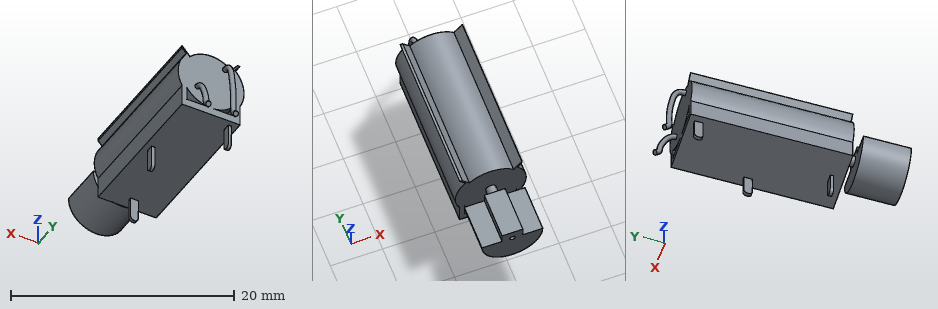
import cadquery as cq
import math


can_radius = 3.0
can_length = 15.2
clip_radius = 6.8 / 2
clip_left_end_angle = 135.0
clip_right_end_angle = 42.0

channel_half_width = 3.0
channel_wall = 0.5
cavity_half_width = channel_half_width - channel_wall
floor_merge = 0.011
floor_top = floor_merge - can_radius
channel_bottom = -3.75
wall_top = -math.sqrt(clip_radius**2 - channel_half_width**2)
cavity_corner_angle = math.degrees(math.acos(cavity_half_width / can_radius))

lip_top = can_radius
left_lip = [(-2.98, lip_top), (-2.73, lip_top), (-2.02, 2.15), (-2.08, 1.95)]
right_lip = [(3.0, lip_top), (3.0, 2.75), (2.34, 1.97), (2.13, 2.02)]

pin_width = 0.8
pin_thickness = 0.32
pin_bottom = lip_top - 9.2
front_pin_y = 1.17
side_pin_x = 2.25
left_pin_y = 14.27
right_pin_y = 8.27

shaft_diameter = 1.0
shaft_gap = 1.0
weight_radius = 2.9
weight_length = 4.5
hub_width = 2.0
hub_top = 0.98
weight_hole_diameter = 0.5

wire_diameter = 0.5
wire_x = 1.42
high_wire_path = [
    (can_length, 1.92), (15.66, 1.88), (16.1, 1.45), (16.45, 0.3), (16.65, -1.08), (16.75, -2.45), (16.75, -3.82),
]
low_wire_path = [(can_length, -1.12), (15.94, -1.58), (16.37, -2.38), (16.76, -3.85)]
tail_bend_radius = 0.57
tail_angle = math.radians(48)
tail_length = 0.35


def extrude_back(sketch, front_y, length):
    """Extrude an XZ sketch from front_y towards +Y."""
    return sketch.extrude(-length).translate((0, front_y, 0))


def polar_point(radius, angle):
    """Point (X, Z) at an angle in degrees from +X."""
    turn = math.radians(angle)
    return radius * math.cos(turn), radius * math.sin(turn)


def clip_arm(start_angle, end_angle):
    """Wedge of the clip's outer circle, which wraps one side of the can."""
    middle_angle = (start_angle + end_angle) / 2
    sketch = (
        cq.Workplane("XZ")
        .lineTo(*polar_point(clip_radius, start_angle))
        .threePointArc(
            polar_point(clip_radius, middle_angle),
            polar_point(clip_radius, end_angle),
        )
        .close()
    )
    return extrude_back(sketch, 0, can_length)


def bracket_channel():
    """U-shaped channel with walls rising to the clip."""
    sketch = cq.Workplane("XZ").polyline([
        (-channel_half_width, channel_bottom),
        (channel_half_width, channel_bottom),
        (channel_half_width, wall_top),
        (cavity_half_width, wall_top),
        (cavity_half_width, floor_top),
        (-cavity_half_width, floor_top),
        (-cavity_half_width, wall_top),
        (-channel_half_width, wall_top),
    ]).close()
    return extrude_back(sketch, 0, can_length)


def solder_pin():
    """Flat pin with a full-round tip, facing Y and centred on the origin in plan."""
    tip_radius = pin_width / 2
    tip_start = pin_bottom + tip_radius
    sketch = (
        cq.Workplane("XZ")
        .moveTo(-tip_radius, channel_bottom)
        .lineTo(-tip_radius, tip_start)
        .threePointArc((0, pin_bottom), (tip_radius, tip_start))
        .lineTo(tip_radius, channel_bottom)
        .close()
    )
    return extrude_back(sketch, -pin_thickness / 2, pin_thickness)


def eccentric_weight():
    """Half-round weight with a raised hub and an axial hole."""
    front_y = -shaft_gap - weight_length
    half_round = (
        cq.Workplane("XZ")
        .moveTo(-weight_radius, 0)
        .threePointArc((0, -weight_radius), (weight_radius, 0))
        .close()
    )
    hub = cq.Workplane("XZ").rect(hub_width, 2 * hub_top)
    hole = cq.Workplane("XZ").circle(weight_hole_diameter / 2)
    weight = extrude_back(half_round, front_y, weight_length)
    weight = weight.union(extrude_back(hub, front_y, weight_length))
    return weight.cut(extrude_back(hole, front_y, weight_length))


def motor_body():
    """Can, bracket, pins, shaft and weight as one solid."""
    body = extrude_back(cq.Workplane("XZ").circle(can_radius), 0, can_length)
    body = body.union(clip_arm(-cavity_corner_angle, clip_right_end_angle))
    body = body.union(clip_arm(clip_left_end_angle, 180 + cavity_corner_angle))
    body = body.union(bracket_channel())
    for lip in (left_lip, right_lip):
        body = body.union(extrude_back(cq.Workplane("XZ").polyline(lip).close(), 0, can_length))

    body = body.union(solder_pin().translate((0, front_pin_y, 0)))
    side_pin = solder_pin().rotate((0, 0, 0), (0, 0, 1), 90)
    for x, y in ((-side_pin_x, left_pin_y), (side_pin_x, right_pin_y)):
        body = body.union(side_pin.translate((x, y, 0)))

    shaft = cq.Workplane("XZ").circle(shaft_diameter / 2)
    body = body.union(extrude_back(shaft, -shaft_gap, shaft_gap))
    return body.union(eccentric_weight())


def lead_wire(x, path_points):
    """Round wire leaving the can along +Y, running down and ending in a bent straight tail."""
    bend_y, bend_z = path_points[-1]
    tail_y = bend_y + tail_bend_radius * (1 - math.cos(tail_angle))
    tail_z = bend_z - tail_bend_radius * math.sin(tail_angle)
    end_y = tail_y + tail_length * math.sin(tail_angle)
    end_z = tail_z - tail_length * math.cos(tail_angle)
    path = (
        cq.Workplane("YZ", origin=(x, 0, 0))
        .spline(path_points, tangents=[(1, 0), (0, -1)], scale=False)
        .tangentArcPoint((tail_y, tail_z), relative=False)
        .lineTo(end_y, end_z)
    )
    start_y, start_z = path_points[0]
    profile = cq.Workplane("XZ", origin=(x, start_y, start_z)).circle(wire_diameter / 2)
    return profile.sweep(path)


motor = motor_body()
wires = [
    lead_wire(x, path_points)
    for x, path_points in ((-wire_x, high_wire_path), (wire_x, low_wire_path))
]

result = cq.Compound.makeCompound([motor.val(), *[wire.val() for wire in wires]])